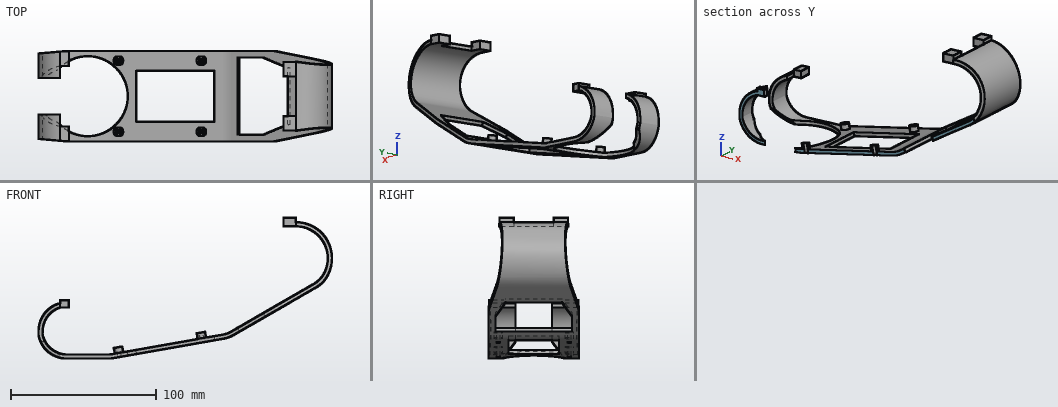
import cadquery as cq
import math


THICKNESS = 3.0
HALF_WIDTH = 31.25
LENGTH = 202.31
HEIGHT = 97.19
BEND_RADIUS = 20.0
FIRST_BEND_X = 49.7
SECOND_BEND_X = 131.2
SHALLOW_SLOPE = 10.0
STEEP_SLOPE = 30.0
CUT_CLEARANCE = 10.0
JOIN_TOLERANCE = 1e-6

SMALL_HOOK_RADIUS = 20.0
HOOK_FLAT_BOTTOM_Z = 16.0
HOOK_FLAT_TOP_Z = 19.0
ARM_TIP_X = 15.0
ARM_SLOT_HALF_WIDTH = 12.5
ARM_SLOT_BOTTOM_Z = 11.7
ARM_SLOT_FOOT_HALF_WIDTH = 21.2
SMALL_TAPER_START_X = 20.0
SMALL_TAPER_ANGLE = 5.0
SMALL_BLOCK = (6.0, 10.0, 5.2)
SMALL_BLOCK_INNER_Y = 20.75

LARGE_HOOK_RADIUS = 25.0
LARGE_TAPER_START = 36.8
LARGE_TAPER_ANGLE = 10.0
LARGE_BLOCK = (8.5, 10.0, 2 * THICKNESS)
LARGE_BLOCK_INNER_Y = 13.7

ROUND_HOLE_RADIUS = 27.5
ROUND_HOLE_X = 34.0
ROUND_HOLE_TOP_Z = 10.0
SHALLOW_WINDOW_START = 18.2
SHALLOW_WINDOW_LENGTH = 54.7
SHALLOW_WINDOW_WIDTH = 35.0
STEEP_WINDOW_START = 8.5
STEEP_WINDOW_CORNER = 29.0
STEEP_WINDOW_END = 48.5
STEEP_WINDOW_HALF_WIDTH = 26.5
STEEP_WINDOW_TAPER_ANGLE = 20.0

STANDOFF_DIAMETER = 6.0
STANDOFF_HEIGHT = 4.0
STANDOFF_HOLE_DIAMETER = 2.5
STANDOFF_START = 6.4
STANDOFF_PITCH = 58.0
STANDOFF_HALF_SPACING = 24.5

SECOND_BEND_Z = (SECOND_BEND_X - FIRST_BEND_X) * math.tan(math.radians(SHALLOW_SLOPE))
LARGE_BLOCK_RISE = LARGE_BLOCK[2] - THICKNESS
LARGE_HOOK_CENTER = (LENGTH - LARGE_HOOK_RADIUS, HEIGHT - LARGE_BLOCK_RISE - LARGE_HOOK_RADIUS)
UPPER_HOOK_CENTER = (SMALL_HOOK_RADIUS, HOOK_FLAT_TOP_Z)


def polar(center, radius, angle):
    """Point at an angle in degrees around a center in the XZ plane."""
    turn = math.radians(angle)
    return (center[0] + radius * math.cos(turn), center[1] + radius * math.sin(turn))


def bend_arc(vertex, slope_before, slope_after):
    """Arc rounding the corner where two straight stretches of the underside meet."""
    half_turn = math.radians(slope_after - slope_before) / 2
    bisector = (slope_before + slope_after) / 2 + 90
    center = polar(vertex, BEND_RADIUS / math.cos(half_turn), bisector)
    return (center, BEND_RADIUS, slope_before - 90, slope_after - 90)


def steep_to_hook_arc():
    """Arc tangent to the underside of the steep slope and to the inside of the large hook."""
    slope = math.radians(STEEP_SLOPE)
    dx = LARGE_HOOK_CENTER[0] - SECOND_BEND_X
    dz = LARGE_HOOK_CENTER[1] - SECOND_BEND_Z
    along = dx * math.cos(slope) + dz * math.sin(slope)
    above = dz * math.cos(slope) - dx * math.sin(slope)
    drop = above - BEND_RADIUS
    shift = math.sqrt((LARGE_HOOK_RADIUS - BEND_RADIUS) ** 2 - drop**2)
    foot = polar((SECOND_BEND_X, SECOND_BEND_Z), along + shift, STEEP_SLOPE)
    center = polar(foot, BEND_RADIUS, STEEP_SLOPE + 90)
    hook_angle = STEEP_SLOPE - math.degrees(math.atan2(drop, shift))
    return (center, BEND_RADIUS, STEEP_SLOPE - 90, hook_angle)


def band_arcs():
    """Arcs of the outer face as (center, radius, start, end), joined by straight stretches."""
    flat_drop = SMALL_HOOK_RADIUS - HOOK_FLAT_BOTTOM_Z
    lower_center = (math.sqrt(SMALL_HOOK_RADIUS**2 - flat_drop**2), SMALL_HOOK_RADIUS)
    lower_start = 180 + math.degrees(math.asin(flat_drop / SMALL_HOOK_RADIUS))
    to_hook = steep_to_hook_arc()
    return [
        (UPPER_HOOK_CENTER, SMALL_HOOK_RADIUS, 90, 180),
        (lower_center, SMALL_HOOK_RADIUS, lower_start, 270),
        bend_arc((FIRST_BEND_X, 0), 0, SHALLOW_SLOPE),
        bend_arc((SECOND_BEND_X, SECOND_BEND_Z), SHALLOW_SLOPE, STEEP_SLOPE),
        to_hook,
        (LARGE_HOOK_CENTER, LARGE_HOOK_RADIUS, to_hook[3], 90),
    ]


def arc_points(arc, inset):
    """Start, middle and end point of an arc whose radius is reduced by the inset."""
    center, radius, start, end = arc
    return [polar(center, radius - inset, angle) for angle in (start, (start + end) / 2, end)]


def make_band():
    """Full-width band, with the small hook still running on to its crown."""
    arcs = band_arcs()
    outer = [arc_points(arc, 0) for arc in arcs]
    inner = [arc_points(arc, THICKNESS)[::-1] for arc in reversed(arcs)]
    here = outer[0][0]
    profile = cq.Workplane("XZ").moveTo(*here)
    for start, middle, end in outer + inner:
        if math.dist(here, start) > JOIN_TOLERANCE:
            profile = profile.lineTo(*start)
        profile = profile.threePointArc(middle, end)
        here = end
    return profile.close().extrude(HALF_WIDTH, both=True)


def slope_plane(x, z, slope):
    """Workplane on the underside of a slope: local x climbs it, local z is its upward normal."""
    turn = math.radians(slope)
    uphill = (math.cos(turn), 0, math.sin(turn))
    upward = (-math.sin(turn), 0, math.cos(turn))
    return cq.Workplane(cq.Plane(origin=(x, 0, z), xDir=uphill, normal=upward))


def shallow_plane():
    return slope_plane(FIRST_BEND_X, 0, SHALLOW_SLOPE)


def steep_plane():
    return slope_plane(SECOND_BEND_X, SECOND_BEND_Z, STEEP_SLOPE)


def both_sides(shape):
    """The shape together with its mirror image across the XZ plane."""
    return shape.union(shape.mirror("XZ"))


def edge_taper(plane, start, run, angle):
    """Wedges that narrow the band from its start over a signed run along the plane's local x."""
    inset = abs(run) * math.tan(math.radians(angle))
    wedge = (
        plane.moveTo(start, HALF_WIDTH)
        .lineTo(start + run, HALF_WIDTH - inset)
        .lineTo(start + run, HALF_WIDTH + CUT_CLEARANCE)
        .lineTo(start, HALF_WIDTH + CUT_CLEARANCE)
        .close()
        .extrude(HEIGHT, both=True)
    )
    return both_sides(wedge)


def arm_slot():
    """Gap between the two small hooks, flaring at the bottom, and the removed crown of the hook."""
    foot_x = ROUND_HOLE_X - math.sqrt(ROUND_HOLE_RADIUS**2 - ARM_SLOT_FOOT_HALF_WIDTH**2)
    positive_half = [
        (ARM_SLOT_FOOT_HALF_WIDTH, 0),
        (ARM_SLOT_HALF_WIDTH, ARM_SLOT_BOTTOM_Z),
        (ARM_SLOT_HALF_WIDTH, HEIGHT),
    ]
    negative_half = [(-y, z) for y, z in reversed(positive_half)]
    gap = cq.Workplane("YZ").polyline(positive_half + negative_half).close().extrude(foot_x)
    crown = cq.Workplane("XY").box(
        SMALL_HOOK_RADIUS, 2 * HALF_WIDTH, SMALL_HOOK_RADIUS, centered=(False, True, False)
    )
    return gap.union(crown.translate((ARM_TIP_X, 0, HOOK_FLAT_TOP_Z)))


def round_hole():
    return cq.Workplane("XY").center(ROUND_HOLE_X, 0).circle(ROUND_HOLE_RADIUS).extrude(ROUND_HOLE_TOP_Z)


def shallow_window():
    middle = SHALLOW_WINDOW_START + SHALLOW_WINDOW_LENGTH / 2
    outline = shallow_plane().center(middle, 0).rect(SHALLOW_WINDOW_LENGTH, SHALLOW_WINDOW_WIDTH)
    return outline.extrude(THICKNESS)


def steep_window():
    """Window whose sides converge towards the large hook."""
    taper_run = STEEP_WINDOW_END - STEEP_WINDOW_CORNER
    end_half_width = STEEP_WINDOW_HALF_WIDTH - taper_run * math.tan(math.radians(STEEP_WINDOW_TAPER_ANGLE))
    positive_half = [
        (STEEP_WINDOW_START, STEEP_WINDOW_HALF_WIDTH),
        (STEEP_WINDOW_CORNER, STEEP_WINDOW_HALF_WIDTH),
        (STEEP_WINDOW_END, end_half_width),
    ]
    negative_half = [(x, -y) for x, y in reversed(positive_half)]
    return steep_plane().polyline(positive_half + negative_half).close().extrude(THICKNESS)


def at_standoffs(plane):
    """The four standoff centers on the shallow slope."""
    rows = (STANDOFF_START, STANDOFF_START + STANDOFF_PITCH)
    sides = (-STANDOFF_HALF_SPACING, STANDOFF_HALF_SPACING)
    return plane.pushPoints([(x, y) for x in rows for y in sides])


def standoffs():
    posts = at_standoffs(shallow_plane().workplane(offset=THICKNESS / 2))
    return posts.circle(STANDOFF_DIAMETER / 2).extrude(THICKNESS / 2 + STANDOFF_HEIGHT)


def standoff_holes():
    depth = THICKNESS + STANDOFF_HEIGHT
    return at_standoffs(shallow_plane()).circle(STANDOFF_HOLE_DIAMETER / 2).extrude(depth)


def end_blocks(size, x, inner_y, z):
    """Pair of blocks with their lowest corner at the given x, inner y and z."""
    block = cq.Workplane("XY").box(*size, centered=False).translate((x, inner_y, z))
    return both_sides(block)


def small_hook_blocks():
    inner_radius = SMALL_HOOK_RADIUS - THICKNESS
    bottom_z = HOOK_FLAT_TOP_Z + math.sqrt(inner_radius**2 - (SMALL_HOOK_RADIUS - ARM_TIP_X) ** 2)
    return end_blocks(SMALL_BLOCK, ARM_TIP_X, SMALL_BLOCK_INNER_Y, bottom_z)


def large_hook_blocks():
    x = LARGE_HOOK_CENTER[0] - LARGE_BLOCK[0]
    return end_blocks(LARGE_BLOCK, x, LARGE_BLOCK_INNER_Y, HEIGHT - LARGE_BLOCK[2])


result = (
    make_band()
    .cut(edge_taper(cq.Workplane("XY"), SMALL_TAPER_START_X, -SMALL_TAPER_START_X, SMALL_TAPER_ANGLE))
    .cut(edge_taper(steep_plane(), LARGE_TAPER_START, LENGTH, LARGE_TAPER_ANGLE))
    .cut(arm_slot())
    .cut(round_hole())
    .cut(shallow_window())
    .cut(steep_window())
    .union(standoffs())
    .cut(standoff_holes())
    .union(small_hook_blocks())
    .union(large_hook_blocks())
)